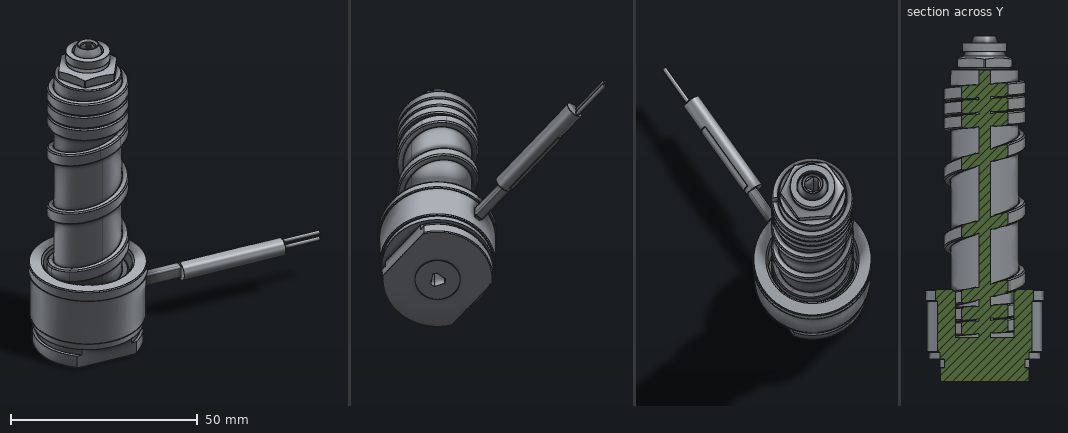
import cadquery as cq
import math

FOOT_Z = 0.4
GROOVE_Z = 4.2
SEAT_Z = 6.4
CUP_Z = 8.3
RIM_Z = 22.0
RIM_TOP = 25.2
TUBE_TOP = 84.25
NUT_Z = 84.7
NUT_EDGE_Z = 86.9
NUT_TOP = 87.7
COLLAR_Z = 88.9
COLLAR_TOP = 91.2
TOTAL_HEIGHT = 93.2

PAD_RADIUS = 6.1
FOOT_RADIUS = 14.9
GROOVE_RADIUS = 14.1
SEAT_RADIUS = 15.0
FLAT_TO_AXIS = 12.0

CUP_RADIUS = 15.6
RIM_RADIUS = 32.0 / 2
CUP_BORE_RADIUS = 11.9
BORE_CHAMFER = 0.6
EDGE_CHAMFER = 0.3

TUBE_RADIUS = 9.1
NECK_RADIUS = 6.9
NUT_TO_FLAT = 15.0 / 2
NUT_CORNER_RADIUS = 8.6
NUT_CONE_RADIUS = 5.9
COLLAR_RADIUS = 6.0
COLLAR_WAIST_RADIUS = 5.3
COLLAR_BORE_RADIUS = 4.2
DOME_TOP_RADIUS = 2.9
DOME_MID_RADIUS = 3.6
DOME_BASE_RADIUS = 4.1
DOME_BASE_Z = 89.5

PASSAGE_TO_FLAT = 1.6
PASSAGE_CORNER_RADIUS = 2.1
PASSAGE_MOUTH_RADIUS = 2.7

SPRING_RADIUS = 11.0
WIRE_HEIGHT = 3.7
WIRE_CHAMFER = 0.4
WIRE_OVERLAP = 0.2
CLOSED_PITCH = 3.9
OPEN_PITCH = 18.2
SPRING_END_ANGLE = 150.0
SPRING_END_Z = 81.0
UPPER_CLOSED_SWEEP = 3 * 360 + 17.0
LOWER_CLOSED_SWEEP = 2 * 360.0
OPEN_SWEEP = 2 * 360 + 45.0
RAMP_SWEEP = 140.0
RAMP_STEPS = 4

TOTAL_LENGTH = 85.0
CABLE_Z = 14.7
CABLE_X = -0.8
CABLE_WIDTH = 2.8
CABLE_HEIGHT = 3.7
CABLE_FILLET = 0.6
CABLE_START_Y = 16.2
CABLE_NECK_WIDTH = 1.9
CABLE_NECK_HEIGHT = 3.2
SLEEVE_RADIUS = 2.5
SLEEVE_START_Y = 27.4
SLEEVE_END_Y = 57.5
LEAD_DIAMETER = 1.2
LEAD_X = -0.9
LEAD_SPACING = 2.0
LEAD_END_Y = TOTAL_LENGTH - RIM_RADIUS
PLATE_START_Y = 28.8
PLATE_END_Y = 49.0
PLATE_HEIGHT = 4.8
PLATE_BACK_X = -1.3


def disc(radius, bottom, top):
    return cq.Workplane("XY").workplane(offset=bottom).circle(radius).extrude(top - bottom)


def spring_stages():
    """Pitch and swept angle of each stage of the spring, from its top end down."""
    step = RAMP_SWEEP / RAMP_STEPS
    pitch_rise = (OPEN_PITCH - CLOSED_PITCH) / RAMP_STEPS
    ramp = [(CLOSED_PITCH + (i + 0.5) * pitch_rise, step) for i in range(RAMP_STEPS)]
    return (
        [(CLOSED_PITCH, UPPER_CLOSED_SWEEP)]
        + ramp
        + [(OPEN_PITCH, OPEN_SWEEP)]
        + ramp[::-1]
        + [(CLOSED_PITCH, LOWER_CLOSED_SWEEP)]
    )


def stage_drop(pitch, sweep):
    return pitch * sweep / 360


def coil(pitch, sweep, start_angle, start_z):
    """One stage of constant pitch, rising from its lower end."""
    inner = TUBE_RADIUS - WIRE_OVERLAP
    half = WIRE_HEIGHT / 2
    path = cq.Wire.makeHelix(pitch, stage_drop(pitch, sweep), SPRING_RADIUS)
    section = cq.Workplane("XZ").polyline([
        (inner, -half + WIRE_CHAMFER),
        (inner + WIRE_CHAMFER, -half),
        (SPRING_RADIUS - WIRE_CHAMFER, -half),
        (SPRING_RADIUS, -half + WIRE_CHAMFER),
        (SPRING_RADIUS, half - WIRE_CHAMFER),
        (SPRING_RADIUS - WIRE_CHAMFER, half),
        (inner + WIRE_CHAMFER, half),
        (inner, half - WIRE_CHAMFER),
    ]).close()
    swept = section.sweep(cq.Workplane(path), isFrenet=True)
    return swept.rotate((0, 0, 0), (0, 0, 1), start_angle).translate((0, 0, start_z))


def spring():
    """All the coils, together with the height of the lower end of the wire."""
    coils = []
    angle = SPRING_END_ANGLE
    z = SPRING_END_Z
    for pitch, sweep in spring_stages():
        angle -= sweep
        z -= stage_drop(pitch, sweep)
        coils.append(coil(pitch, sweep, angle, z))
    return coils, z


def foot():
    body = disc(FOOT_RADIUS, FOOT_Z, GROOVE_Z).faces("<Z").chamfer(EDGE_CHAMFER)
    body = body.union(disc(GROOVE_RADIUS, GROOVE_Z, SEAT_Z))
    flats = cq.Workplane("XY").rect(2 * FLAT_TO_AXIS, 4 * FOOT_RADIUS).extrude(SEAT_Z)
    body = body.intersect(flats)
    return body.union(disc(PAD_RADIUS, 0, FOOT_Z)).union(disc(SEAT_RADIUS, SEAT_Z, CUP_Z))


def cup(floor_z):
    wall = disc(CUP_RADIUS, CUP_Z, RIM_Z).faces("<Z").chamfer(EDGE_CHAMFER)
    rim = disc(RIM_RADIUS, RIM_Z, RIM_TOP).edges().chamfer(EDGE_CHAMFER)
    bored = wall.union(rim).cut(disc(CUP_BORE_RADIUS, floor_z, RIM_TOP))
    mouth = cq.Workplane(cq.Solid.makeCone(
        CUP_BORE_RADIUS, CUP_BORE_RADIUS + BORE_CHAMFER, BORE_CHAMFER,
        cq.Vector(0, 0, RIM_TOP - BORE_CHAMFER),
    ))
    return bored.cut(mouth)


def tube():
    body = disc(TUBE_RADIUS, SEAT_Z, TUBE_TOP).faces(">Z").chamfer(EDGE_CHAMFER)
    return body.union(disc(NECK_RADIUS, TUBE_TOP, NUT_Z))


def nut():
    """Hexagon with flats toward +X and -X, under a shallow cone."""
    corner_to_corner = 2 * NUT_TO_FLAT / math.cos(math.pi / 6)
    hexagon = (
        cq.Workplane("XY").workplane(offset=NUT_Z)
        .transformed(rotate=(0, 0, 30))
        .polygon(6, corner_to_corner)
        .extrude(NUT_TOP - NUT_Z)
    )
    cone = cq.Workplane("XZ").polyline([
        (0, NUT_Z),
        (NUT_CORNER_RADIUS, NUT_Z),
        (NUT_CORNER_RADIUS, NUT_EDGE_Z),
        (NUT_CONE_RADIUS, NUT_TOP),
        (0, NUT_TOP),
    ]).close().revolve(360, (0, 0), (0, 1))
    return hexagon.intersect(cone)


def nozzle():
    """Waisted collar around a domed tip."""
    profile = (
        cq.Workplane("XZ")
        .moveTo(0, NUT_TOP)
        .lineTo(NUT_CONE_RADIUS, NUT_TOP)
        .lineTo(COLLAR_WAIST_RADIUS, COLLAR_Z)
        .lineTo(COLLAR_RADIUS, COLLAR_Z)
        .lineTo(COLLAR_RADIUS, COLLAR_TOP)
        .lineTo(COLLAR_BORE_RADIUS, COLLAR_TOP)
        .lineTo(COLLAR_BORE_RADIUS, DOME_BASE_Z)
        .lineTo(DOME_BASE_RADIUS, DOME_BASE_Z)
        .threePointArc((DOME_MID_RADIUS, COLLAR_TOP), (DOME_TOP_RADIUS, TOTAL_HEIGHT))
        .lineTo(0, TOTAL_HEIGHT)
        .close()
    )
    return profile.revolve(360, (0, 0), (0, 1))


def passage():
    """Triangular hole with rounded corners, one corner toward -Y, countersunk at the top."""
    corner_circle_diameter = 4 * PASSAGE_TO_FLAT
    triangle = (
        cq.Workplane("XY")
        .transformed(rotate=(0, 0, -90))
        .polygon(3, corner_circle_diameter)
        .extrude(TOTAL_HEIGHT)
    )
    hole = triangle.intersect(disc(PASSAGE_CORNER_RADIUS, 0, TOTAL_HEIGHT))
    mouth_depth = PASSAGE_MOUTH_RADIUS - PASSAGE_CORNER_RADIUS
    mouth = cq.Workplane(cq.Solid.makeCone(
        PASSAGE_CORNER_RADIUS, PASSAGE_MOUTH_RADIUS, mouth_depth,
        cq.Vector(0, 0, TOTAL_HEIGHT - mouth_depth),
    ))
    return hole.union(mouth)


def across_cable(start_y):
    """Plane across the cable: local x is X, local y is Z above the cable's middle."""
    return cq.Workplane("XZ", origin=(0, start_y, CABLE_Z))


def cable():
    neck_start = (CUP_BORE_RADIUS + CUP_RADIUS) / 2
    neck = across_cable(neck_start).center(CABLE_X, 0)
    neck = neck.rect(CABLE_NECK_WIDTH, CABLE_NECK_HEIGHT).extrude(neck_start - SLEEVE_START_Y)
    jacket = across_cable(CABLE_START_Y).center(CABLE_X, 0).rect(CABLE_WIDTH, CABLE_HEIGHT)
    jacket = jacket.extrude(CABLE_START_Y - SLEEVE_START_Y).edges("|Y").fillet(CABLE_FILLET)
    sleeve = across_cable(SLEEVE_START_Y).circle(SLEEVE_RADIUS)
    sleeve = sleeve.extrude(SLEEVE_START_Y - SLEEVE_END_Y)
    rounding = SLEEVE_RADIUS + PLATE_BACK_X
    plate = (
        across_cable(PLATE_START_Y)
        .moveTo(PLATE_BACK_X, -PLATE_HEIGHT / 2)
        .radiusArc((-SLEEVE_RADIUS, rounding - PLATE_HEIGHT / 2), rounding)
        .lineTo(-SLEEVE_RADIUS, PLATE_HEIGHT / 2 - rounding)
        .radiusArc((PLATE_BACK_X, PLATE_HEIGHT / 2), rounding)
        .close()
        .extrude(PLATE_START_Y - PLATE_END_Y)
    )
    leads = across_cable(SLEEVE_END_Y).pushPoints(
        [(LEAD_X, side * LEAD_SPACING / 2) for side in (-1, 1)]
    ).circle(LEAD_DIAMETER / 2).extrude(SLEEVE_END_Y - LEAD_END_Y)
    return neck.union(jacket).union(sleeve).union(plate).union(leads)


coils, spring_low_z = spring()
cup_floor_z = spring_low_z - WIRE_HEIGHT / 2 + WIRE_OVERLAP

result = foot().union(cup(cup_floor_z)).union(tube()).union(nut()).union(nozzle()).union(cable())
for one_coil in coils:
    result = result.union(one_coil)
result = result.cut(passage())